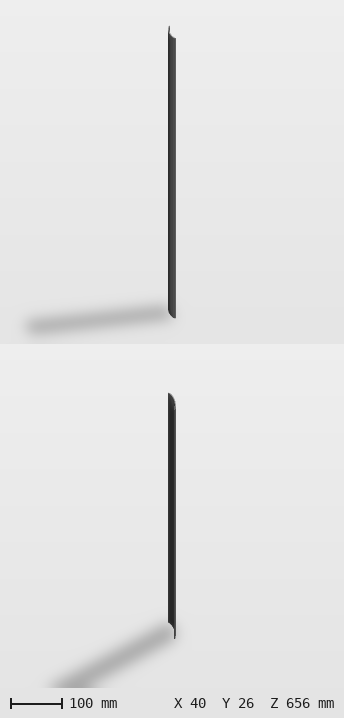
import cadquery as cq
import math

width = 40.0
depth = 26.0
length = 656.0
thickness = 2.0

lip_width = 4.5
lip_slope = math.radians(8)

arc_width = width - lip_width
arc_turn = math.radians(51)
chord_slope = math.atan2(depth, arc_width)
shallow_slope = chord_slope - arc_turn / 2
steep_slope = chord_slope + arc_turn / 2
outer_radius = math.hypot(arc_width, depth) / (2 * math.sin(arc_turn / 2))
inner_radius = outer_radius - thickness

left_x = -width / 2
right_x = width / 2
top_y = depth / 2
centre_x = left_x + outer_radius * math.sin(steep_slope)
centre_y = top_y + outer_radius * math.cos(steep_slope)

inner_steep_slope = math.acos((centre_y - top_y) / inner_radius)


def arc_point(radius, slope):
    """Point on the wall where its tangent has the given slope."""
    return (centre_x - radius * math.sin(slope), centre_y - radius * math.cos(slope))


lip_outer_y = -depth / 2 + lip_width * math.tan(lip_slope)
lip_inner_y = lip_outer_y + thickness / math.cos(lip_slope)

profile = (
    cq.Workplane("XY", origin=(0, 0, -length / 2))
    .moveTo(right_x, lip_outer_y)
    .lineTo(*arc_point(outer_radius, shallow_slope))
    .threePointArc(arc_point(outer_radius, chord_slope), arc_point(outer_radius, steep_slope))
    .lineTo(*arc_point(inner_radius, inner_steep_slope))
    .threePointArc(arc_point(inner_radius, chord_slope), arc_point(inner_radius, shallow_slope))
    .lineTo(right_x, lip_inner_y)
    .close()
)

result = profile.extrude(length)